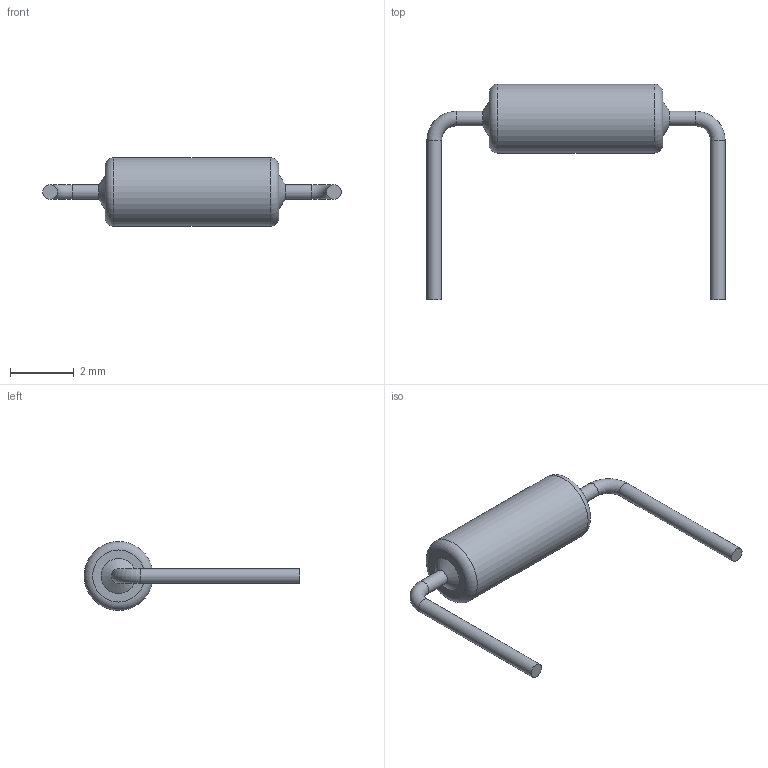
import cadquery as cq

body_diameter = 2.16
body_length = 5.44
body_edge_radius = 0.265

collar_base_diameter = 1.1
collar_length = 0.21

lead_diameter = 0.46
lead_pitch = 8.89
bend_radius = 1.5 * lead_diameter
overall_depth = 6.76

body_radius = body_diameter / 2
half_body = body_length / 2
half_pitch = lead_pitch / 2
lead_tip_y = body_radius - overall_depth


def make_body():
    """Cylinder centred on the origin with rounded end edges."""
    cylinder = cq.Workplane("YZ", origin=(-half_body, 0, 0)).circle(body_radius).extrude(body_length)
    return cylinder.edges("%CIRCLE").fillet(body_edge_radius)


def make_collars():
    """Cones on both body ends, tapering to the lead diameter, with a core through the body."""
    base_radius = collar_base_diameter / 2
    lead_radius = lead_diameter / 2
    collar_tip_x = half_body + collar_length
    return (
        cq.Workplane("XY")
        .moveTo(-collar_tip_x, 0)
        .lineTo(-collar_tip_x, lead_radius)
        .lineTo(-half_body, base_radius)
        .lineTo(half_body, base_radius)
        .lineTo(collar_tip_x, lead_radius)
        .lineTo(collar_tip_x, 0)
        .close()
        .revolve(360, (0, 0, 0), (1, 0, 0))
    )


def make_leads():
    """One continuous round wire: down each side, around both bends and through the body."""
    bend_start_x = half_pitch - bend_radius
    path = (
        cq.Workplane("XY")
        .moveTo(-half_pitch, lead_tip_y)
        .lineTo(-half_pitch, -bend_radius)
        .tangentArcPoint((-bend_start_x, 0), relative=False)
        .lineTo(bend_start_x, 0)
        .tangentArcPoint((half_pitch, -bend_radius), relative=False)
        .lineTo(half_pitch, lead_tip_y)
    )
    profile = cq.Workplane("XZ", origin=(-half_pitch, lead_tip_y, 0)).circle(lead_diameter / 2)
    return profile.sweep(path)


result = make_body().union(make_collars()).union(make_leads())